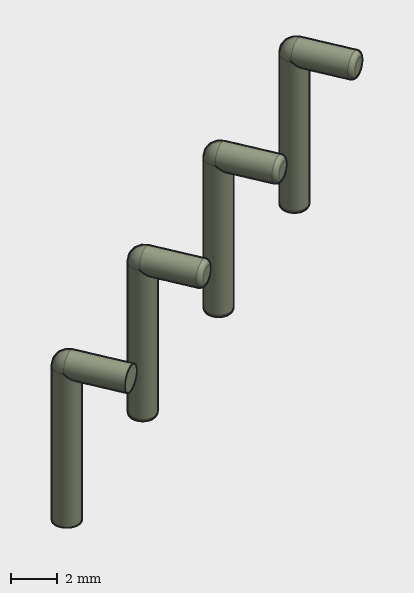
import cadquery as cq
import math

total_width = 26.8
pin_reach = 3.62
pin_height = 8.75

pin_count = 4
pin_pitch = 8.5
pin_diameter = total_width - (pin_count - 1) * pin_pitch
pin_radius = pin_diameter / 2
end_rounding = 0.25
bend_radius = 0.1

leg_length = pin_height - pin_radius - bend_radius
arm_length = pin_reach - pin_radius - bend_radius


def elbow():
    """Quarter turn of the part of the wire section that lies outside the bend axis."""
    axis_half_chord = math.sqrt(pin_radius**2 - bend_radius**2)
    return (
        cq.Workplane("XY")
        .workplane(offset=-bend_radius)
        .moveTo(bend_radius, -axis_half_chord)
        .threePointArc((-pin_radius, 0), (bend_radius, axis_half_chord))
        .close()
        .revolve(90, (bend_radius, -pin_radius), (bend_radius, pin_radius))
    )


def bent_pin():
    """Vertical leg and horizontal arm of round wire, joined by a tight quarter bend."""
    leg = cq.Workplane("XY").workplane(offset=-bend_radius).circle(pin_radius).extrude(-leg_length)
    arm = cq.Workplane("YZ").workplane(offset=bend_radius).circle(pin_radius).extrude(arm_length)
    return leg.union(arm).union(elbow())


def plain_pin(y):
    """Pin with square-cut ends."""
    return bent_pin().translate((0, y, 0))


def rounded_pin(y):
    """Pin with both end rims rounded."""
    pin = bent_pin().faces("<Z").edges().fillet(end_rounding)
    pin = pin.faces(">X").edges().fillet(end_rounding)
    return pin.translate((0, y, 0))


first_pin_y = -(pin_count - 1) * pin_pitch / 2
end_pin = plain_pin(first_pin_y)
row_pins = [rounded_pin(first_pin_y + i * pin_pitch) for i in range(1, pin_count)]

result = cq.Compound.makeCompound([end_pin.val(), *[pin.val() for pin in row_pins]])